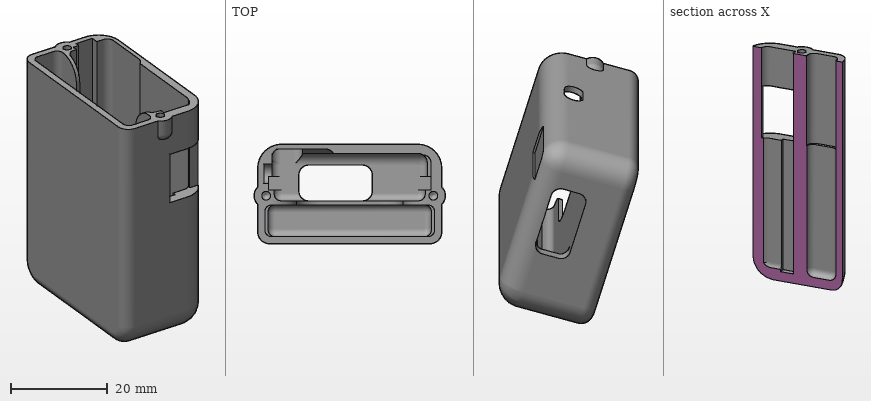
import cadquery as cq
import math

body_width = 38.0
body_depth = 20.6
body_height = 52.0
back_radius = 5.0
ball_corner_relief = 0.01
front_radius = 2.5
front_y = -body_depth / 2
back_y = body_depth / 2

front_wall = 1.5
back_wall = 1.9
partition_wall = 0.85
floor_z = 2.5
shoulder_z = 31.8
overshoot = 1.0

chamber_half_width = 16.85
chamber_top_half_width = 17.5
chamber_back_y = -2.25
chamber_radius = 1.4

rear_half_width = 16.0
rear_front_half_width = 15.6
rear_front_y = chamber_back_y + partition_wall
rear_back_y = back_y - back_wall
rear_front_radius = 1.5
rear_back_radius = 2.45
rear_side_radius = 1.45
rear_corner_radius = 2.0

bay_end_x = -3.05
bay_back_y = back_y - 1.0
bay_bottom_z = floor_z + rear_back_radius
bay_slope_height = 2.0
bay_left_radius = 1.5
bay_right_radius = 2.0
pit_end_x = -9.7
pit_radius = 1.8

groove_front_y = 0.87
groove_back_y = 3.67
groove_half_width = 16.75

widening_back_y = 8.05
widening_radius = 1.6
window_top_z = 43.2

dip_half_width = 16.0
dip_radius = 5.0

boss_x = 17.25
boss_y = -0.35
boss_radius = 2.5
boss_length = 5.15
boss_end_radius = 1.7
screw_diameter = 1.8
screw_depth = 4.0
screw_tip_angle = 120

slot_y = 4.2
slot_width = 4.0
slot_height = 7.0
slot_center_z = 31.5
channel_x = -17.7

port_center_x = -2.93
port_width = 15.1
port_radius = 2.0
port_front_y = rear_front_y
port_back_y = rear_back_y - rear_back_radius

recess_depth = 0.45
recess_top_z = 17.0
recess_start_x = -rear_half_width
recess_end_x = pit_end_x


def block(x0, x1, y0, y1, z0, z1):
    """Box between two opposite corners."""
    return cq.Workplane("XY").box(x1 - x0, y1 - y0, z1 - z0, centered=False).translate((x0, y0, z0))


def outer_shell():
    shell = block(-body_width / 2, body_width / 2, front_y, back_y, 0, body_height)
    shell = shell.edges("|Y and <Z").fillet(back_radius)
    shell = shell.faces("<Y").edges("not >Z").fillet(front_radius)
    return shell.faces(">Y").edges("not >Z").fillet(back_radius - ball_corner_relief)


def screw_boss(x):
    boss = cq.Workplane("XY", origin=(x, boss_y, body_height - boss_length)).circle(boss_radius)
    return boss.extrude(boss_length).faces("<Z").edges().fillet(boss_end_radius)


def screw_hole(x):
    radius = screw_diameter / 2
    tip_depth = screw_depth + radius / math.tan(math.radians(screw_tip_angle / 2))
    profile = cq.Workplane("XZ").polyline([(0, 0), (radius, 0), (radius, -screw_depth), (0, -tip_depth)])
    return profile.close().revolve(360, (0, 0), (0, 1)).translate((x, boss_y, body_height))


def trough(x0, x1, y0, y1, front_fillet, back_fillet, side_fillet):
    """Open-topped chamber with its own radius along the front, back and side floor edges."""
    tool = block(x0, x1, y0, y1, floor_z, body_height + overshoot)
    tool = tool.edges("|X and <Z and <Y").fillet(front_fillet)
    tool = tool.edges("|X and <Z and >Y").fillet(back_fillet)
    tool = tool.faces("<X").edges("not >Z").fillet(side_fillet)
    return tool.faces(">X").edges("not >Z").fillet(side_fillet)


def front_chamber():
    y0 = front_y + front_wall
    half = chamber_half_width
    top_half = chamber_top_half_width
    lower = trough(-half, half, y0, chamber_back_y, front_wall, front_wall, chamber_radius)
    upper = block(-top_half, top_half, y0, chamber_back_y, shoulder_z, body_height + overshoot)
    return lower.union(upper.edges("|Z").fillet(chamber_radius))


def rear_chamber():
    radii = (rear_front_radius, rear_back_radius, rear_side_radius)
    narrow = trough(-rear_front_half_width, rear_front_half_width, rear_front_y, rear_back_y, *radii)
    wide = trough(-rear_half_width, rear_half_width, rear_front_y, rear_back_y, *radii)
    tall = body_height + overshoot
    front_part = block(-rear_half_width, rear_half_width, rear_front_y, groove_front_y, 0, tall)
    back_part = block(-rear_half_width, rear_half_width, groove_front_y, rear_back_y, 0, tall)
    back_part = back_part.edges("|Z and >Y").fillet(rear_corner_radius)
    return narrow.intersect(front_part).union(wide.intersect(back_part))


def rear_bay():
    """Bay cut into the back wall above a sloped sill, with a pit down to the floor."""
    top_z = body_height + overshoot
    bay = (
        cq.Workplane("YZ", origin=(-rear_half_width, 0, 0))
        .moveTo(groove_back_y, bay_bottom_z)
        .lineTo(rear_back_y, bay_bottom_z)
        .lineTo(bay_back_y, bay_bottom_z + bay_slope_height)
        .lineTo(bay_back_y, top_z)
        .lineTo(groove_back_y, top_z)
        .close()
        .extrude(bay_end_x + rear_half_width)
    )
    bay = bay.edges("|Z and >Y and <X").fillet(bay_left_radius)
    bay = bay.edges("|Z and >Y and >X").fillet(bay_right_radius)
    pit_top_z = bay_bottom_z + bay_slope_height
    pit = block(-rear_half_width, pit_end_x, port_back_y, bay_back_y, floor_z, pit_top_z)
    return bay.union(pit.edges("|Y and <Z").fillet(pit_radius))


def guide_grooves():
    return block(-groove_half_width, groove_half_width, groove_front_y, groove_back_y,
                 floor_z, body_height + overshoot)


def right_widening():
    tool = block(0, groove_half_width, groove_front_y, widening_back_y,
                 shoulder_z, body_height + overshoot)
    return tool.edges("|Z and >X and >Y").fillet(widening_radius)


def right_window():
    return block(rear_half_width, body_width, groove_front_y, back_y + overshoot, shoulder_z, window_top_z)


def partition_dip():
    """S-curved dip: each side rolls over to vertical, drops, then curves out to the flat bottom."""
    steep_x = dip_half_width - dip_radius
    bottom_x = steep_x - dip_radius
    mid_z = body_height - dip_radius
    bottom_z = shoulder_z
    low_z = bottom_z + dip_radius
    bend = dip_radius * math.cos(math.radians(45))
    profile = (
        cq.Workplane("XZ", origin=(0, groove_front_y, 0))
        .moveTo(-dip_half_width, body_height)
        .threePointArc((-dip_half_width + bend, mid_z + bend), (-steep_x, mid_z))
        .lineTo(-steep_x, low_z)
        .threePointArc((-bottom_x - bend, low_z - bend), (-bottom_x, bottom_z))
        .lineTo(bottom_x, bottom_z)
        .threePointArc((bottom_x + bend, low_z - bend), (steep_x, low_z))
        .lineTo(steep_x, mid_z)
        .threePointArc((dip_half_width - bend, mid_z + bend), (dip_half_width, body_height))
        .close()
    )
    return profile.extrude(groove_front_y - chamber_back_y)


def left_slot():
    wall_slot = cq.Workplane("YZ", origin=(-body_width, slot_y, slot_center_z))
    wall_slot = wall_slot.slot2D(slot_height, slot_width, 90).extrude(body_width - rear_half_width)
    lower_center_z = slot_center_z - (slot_height - slot_width) / 2
    channel = block(channel_x, -rear_half_width, slot_y - slot_width / 2, slot_y + slot_width / 2,
                    lower_center_z, body_height + overshoot)
    round_end = cq.Workplane("YZ", origin=(channel_x, slot_y, lower_center_z))
    round_end = round_end.circle(slot_width / 2).extrude(-rear_half_width - channel_x)
    return wall_slot.union(channel).union(round_end)


def floor_port():
    half = port_width / 2
    tool = block(port_center_x - half, port_center_x + half, port_front_y, port_back_y,
                 -overshoot, floor_z + rear_back_radius)
    return tool.edges("|Z").fillet(port_radius)


def back_recess():
    return block(recess_start_x, recess_end_x, back_y - recess_depth, back_y + overshoot, 0, recess_top_z)


result = outer_shell()
for side in (-1, 1):
    result = result.union(screw_boss(side * boss_x))

for cavity in (
    front_chamber(),
    rear_chamber(),
    rear_bay(),
    guide_grooves(),
    right_widening(),
    right_window(),
    partition_dip(),
    left_slot(),
    floor_port(),
    back_recess(),
):
    result = result.cut(cavity)

for side in (-1, 1):
    result = result.cut(screw_hole(side * boss_x))